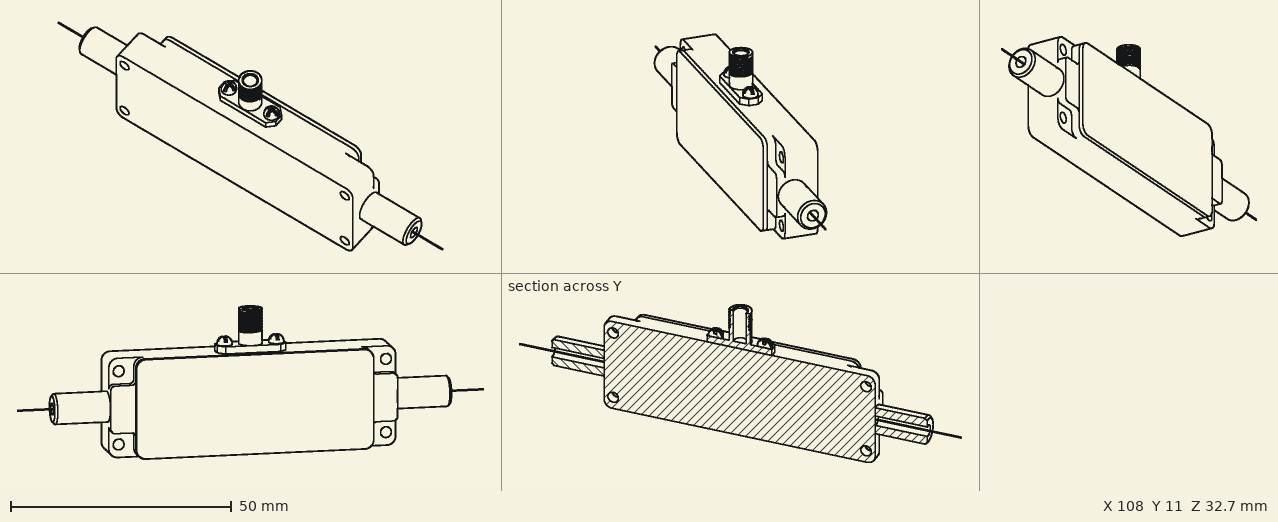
import cadquery as cq


FIBRE_SPAN = 108.0
BACK_Y = 5.0

HOUSING_LENGTH = 66.5
HOUSING_HEIGHT = 23.0
FRONT_Y = -6.0
CORNER_RADIUS = 2.0
HOLE_DIAMETER = 2.5
HOLE_SPACING_X = 62.0
HOLE_SPACING_Z = 17.0

LID_LENGTH = 55.0
LID_THICKNESS = 1.0
STEP_DEPTH = 2.0
TAB_HEIGHT = 11.0
TAB_RADIUS = 1.0

TUBE_LENGTH = 12.7
TUBE_DIAMETER = 7.0
TUBE_BORE = 2.6
TUBE_CHAMFER = 0.5
FIBRE_DIAMETER = 0.2

CONNECTOR_Y = -0.1
FLANGE_LENGTH = 16.0
FLANGE_WIDTH = 5.5
FLANGE_THICKNESS = 1.6
FLANGE_CHAMFER = 1.6
BARREL_DIAMETER = 5.3
BARREL_LENGTH = 8.1
BARREL_BORE = 3.1
MOUTH_CHAMFER = 0.27
THREAD_LENGTH = 5.3
THREAD_END_LAND = 0.1
THREAD_PITCH = 0.7
THREAD_DEPTH = 0.3
THREAD_MOUTH = 0.59

SCREW_SPACING = 12.0
SCREW_HEAD_DIAMETER = 3.5
SCREW_HEAD_HEIGHT = 1.9
SLOT_WIDTH = 0.59
SLOT_DEPTH = 1.1

LID_SEAT_Y = BACK_Y - LID_THICKNESS
STEP_Y = LID_SEAT_Y - STEP_DEPTH
HOUSING_END_X = HOUSING_LENGTH / 2
HOUSING_TOP_Z = HOUSING_HEIGHT / 2
FLANGE_TOP_Z = HOUSING_TOP_Z + FLANGE_THICKNESS
BARREL_TOP_Z = FLANGE_TOP_Z + BARREL_LENGTH


def rounded_plate(length, y_from, y_to):
    """Full-height plate between two Y planes, with its four corners rounded."""
    return (
        cq.Workplane("XZ", origin=(0, y_from, 0))
        .rect(length, HOUSING_HEIGHT)
        .extrude(y_from - y_to)
        .edges("|Y")
        .fillet(CORNER_RADIUS)
    )


def make_housing():
    front_block = rounded_plate(HOUSING_LENGTH, FRONT_Y, STEP_Y)
    holes = (
        cq.Workplane("XZ", origin=(0, FRONT_Y, 0))
        .rect(HOLE_SPACING_X, HOLE_SPACING_Z, forConstruction=True)
        .vertices()
        .circle(HOLE_DIAMETER / 2)
        .extrude(FRONT_Y - STEP_Y)
    )

    centre_block = rounded_plate(LID_LENGTH, STEP_Y, LID_SEAT_Y)
    tabs = (
        cq.Workplane("XZ", origin=(0, STEP_Y, 0))
        .rect(HOUSING_LENGTH, TAB_HEIGHT)
        .extrude(-STEP_DEPTH)
        .edges("|Y")
        .fillet(TAB_RADIUS)
    )
    inner_x = LID_LENGTH / 2
    inner_z = TAB_HEIGHT / 2
    margin = TAB_RADIUS / 2
    inner_corners = cq.selectors.BoxSelector(
        (-inner_x - margin, STEP_Y, -inner_z - margin),
        (inner_x + margin, LID_SEAT_Y, inner_z + margin),
    )
    back_layer = centre_block.union(tabs).edges("|Y").edges(inner_corners).fillet(TAB_RADIUS)
    return front_block.cut(holes).union(back_layer)


def make_lid():
    return rounded_plate(LID_LENGTH, LID_SEAT_Y, BACK_Y)


def make_tube(side):
    """Tube on the -X (side = -1) or +X (side = 1) end of the housing."""
    end_face = cq.Workplane("YZ", origin=(side * HOUSING_END_X, 0, 0))
    outer_end = "<X" if side < 0 else ">X"
    bore = end_face.circle(TUBE_BORE / 2).extrude(side * TUBE_LENGTH)
    return (
        end_face.circle(TUBE_DIAMETER / 2)
        .extrude(side * TUBE_LENGTH)
        .faces(outer_end)
        .chamfer(TUBE_CHAMFER)
        .cut(bore)
    )


def make_fibre(side):
    """Bare fibre from the housing end face out through the tube bore."""
    return (
        cq.Workplane("YZ", origin=(side * HOUSING_END_X, 0, 0))
        .circle(FIBRE_DIAMETER / 2)
        .extrude(side * (FIBRE_SPAN / 2 - HOUSING_END_X))
    )


def make_thread_groove():
    """V-shaped helical groove around the outer end of the barrel."""
    radius = BARREL_DIAMETER / 2
    half_mouth = THREAD_MOUTH / 2
    start_z = BARREL_TOP_Z - THREAD_LENGTH + half_mouth
    turns_height = THREAD_LENGTH - THREAD_MOUTH - THREAD_END_LAND
    overlap = 0.05
    axis_start = cq.Vector(0, CONNECTOR_Y, start_z)
    helix = cq.Wire.makeHelix(THREAD_PITCH, turns_height, radius, axis_start)
    return (
        cq.Workplane("XZ", origin=axis_start)
        .polyline([
            (radius + overlap, -half_mouth),
            (radius - THREAD_DEPTH, 0),
            (radius + overlap, half_mouth),
        ])
        .close()
        .sweep(cq.Workplane(helix), isFrenet=True)
    )


def make_connector():
    flange = (
        cq.Workplane("XY", origin=(0, CONNECTOR_Y, HOUSING_TOP_Z))
        .rect(FLANGE_LENGTH, FLANGE_WIDTH)
        .extrude(FLANGE_THICKNESS)
        .edges("|Z")
        .chamfer(FLANGE_CHAMFER)
    )
    flange_top = cq.Workplane("XY", origin=(0, CONNECTOR_Y, FLANGE_TOP_Z))
    barrel = flange_top.circle(BARREL_DIAMETER / 2).extrude(BARREL_LENGTH)
    bore = flange_top.circle(BARREL_BORE / 2).extrude(BARREL_LENGTH)
    mouth = cq.Solid.makeCone(
        BARREL_BORE / 2,
        BARREL_BORE / 2 + MOUTH_CHAMFER,
        MOUTH_CHAMFER,
        cq.Vector(0, CONNECTOR_Y, BARREL_TOP_Z - MOUTH_CHAMFER),
    )
    threaded_barrel = barrel.cut(make_thread_groove())
    return flange.union(threaded_barrel).cut(bore).cut(cq.Workplane(mouth))


def make_screw(x):
    """Domed screw head with a cross slot, seated on the flange."""
    radius = SCREW_HEAD_DIAMETER / 2
    dome_z = FLANGE_TOP_Z + SCREW_HEAD_HEIGHT - radius
    slot_z = FLANGE_TOP_Z + SCREW_HEAD_HEIGHT - SLOT_DEPTH

    seat = cq.Workplane("XY", origin=(x, CONNECTOR_Y, FLANGE_TOP_Z))
    dome = cq.Workplane("XY", origin=(x, CONNECTOR_Y, dome_z)).sphere(radius)
    skirt = seat.circle(radius).extrude(dome_z - FLANGE_TOP_Z)
    above_seat = seat.circle(SCREW_HEAD_DIAMETER).extrude(SCREW_HEAD_DIAMETER)
    head = dome.union(skirt).intersect(above_seat)

    slot_floor = cq.Workplane("XY", origin=(x, CONNECTOR_Y, slot_z))
    slot_along_x = slot_floor.rect(SCREW_HEAD_DIAMETER, SLOT_WIDTH).extrude(SLOT_DEPTH)
    slot_along_y = slot_floor.rect(SLOT_WIDTH, SCREW_HEAD_DIAMETER).extrude(SLOT_DEPTH)
    return head.cut(slot_along_x).cut(slot_along_y)


SIDES = (-1, 1)
housing = make_housing()
lid = make_lid()
connector = make_connector()
tubes = [make_tube(side) for side in SIDES]
fibres = [make_fibre(side) for side in SIDES]
screws = [make_screw(side * SCREW_SPACING / 2) for side in SIDES]

result = cq.Compound.makeCompound([
    housing.val(),
    lid.val(),
    connector.val(),
    *[tube.val() for tube in tubes],
    *[fibre.val() for fibre in fibres],
    *[screw.val() for screw in screws],
])